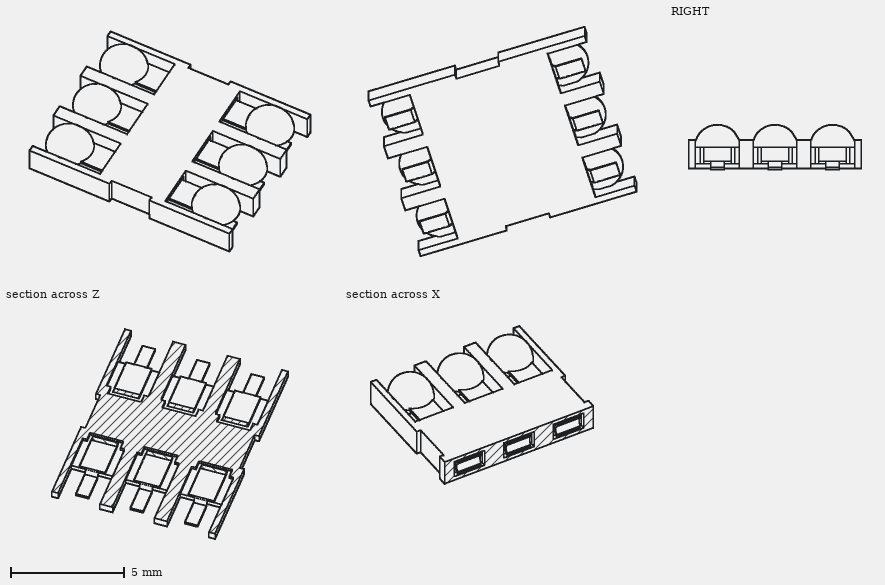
import cadquery as cq

LENGTH = 10.0
HEIGHT = 1.27
OUTER_WALL = 0.3
RIB = 0.6
SLOT_WIDTH = 1.94
ROWS = 3
PITCH = SLOT_WIDTH + RIB
WIDTH = ROWS * SLOT_WIDTH + (ROWS - 1) * RIB + 2 * OUTER_WALL

SLOT_LENGTH = 3.37
FLOOR_THICKNESS = 0.23
CAVITY_WIDTH = 1.54

NOTCH_LENGTH = 2.0
NOTCH_DEPTH = 0.2

STRIP_THICKNESS = 0.11
STRIP_WIDTH = 1.2
BEND_INNER_RADIUS = 0.3
FOOT_WIDTH = 0.6
FOOT_LENGTH = 1.2
FOOT_INSET = 0.45
FOOT_OVERHANG = 0.04
SLOPE_LENGTH = 0.16
DOME_HALF_LENGTH = 1.09
DOME_INSET = 1.35
DOME_HEIGHT = 1.01

END_X = -LENGTH / 2
BEND_OUTER_RADIUS = BEND_INNER_RADIUS + STRIP_THICKNESS
BEND_X = END_X + SLOT_LENGTH
BEND_Z = FLOOR_THICKNESS + BEND_OUTER_RADIUS
CAVITY_END_X = BEND_X + BEND_OUTER_RADIUS
STRIP_TOP_Z = BEND_Z + BEND_OUTER_RADIUS
UPPER_LEG_BOTTOM_Z = BEND_Z + BEND_INNER_RADIUS
FOOT_X = END_X + FOOT_INSET
SLOPE_X = FOOT_X + FOOT_LENGTH
FLOOR_X = SLOPE_X + SLOPE_LENGTH
DOME_X = END_X + DOME_INSET
ROW_YS = [(row - (ROWS - 1) / 2) * PITCH for row in range(ROWS)]


def block(x_start, x_end, width, z_start, z_end):
    """Box between two X and two Z values, centred on Y = 0."""
    return (
        cq.Workplane("XY")
        .box(x_end - x_start, width, z_end - z_start, centered=(False, True, False))
        .translate((x_start, 0, z_start))
    )


def make_seat():
    """Space cut from the housing for one contact at the -X end."""
    open_end = block(END_X, FLOOR_X, SLOT_WIDTH, 0, HEIGHT)
    slot = block(FLOOR_X, BEND_X, SLOT_WIDTH, FLOOR_THICKNESS, HEIGHT)
    cavity = block(BEND_X, CAVITY_END_X, CAVITY_WIDTH, FLOOR_THICKNESS, STRIP_TOP_Z)
    return open_end.union(slot).union(cavity)


def place_copies(shape):
    """Copies of a -X end shape for every row at both ends."""
    copies = []
    for y in ROW_YS:
        moved = shape.translate((0, y, 0))
        copies.append(moved)
        copies.append(moved.mirror("YZ"))
    return copies


def make_housing():
    body = block(END_X, -END_X, WIDTH, 0, HEIGHT)
    for seat in place_copies(make_seat()):
        body = body.cut(seat)
    notched_width = WIDTH - 2 * NOTCH_DEPTH
    notch_band = block(-NOTCH_LENGTH / 2, NOTCH_LENGTH / 2, WIDTH, 0, HEIGHT)
    waist = block(-NOTCH_LENGTH / 2, NOTCH_LENGTH / 2, notched_width, 0, HEIGHT)
    return body.cut(notch_band.cut(waist))


def make_bent_strip():
    """Lower leg on the floor, U bend inside the cavity and upper leg below the dome."""
    return (
        cq.Workplane("XZ")
        .moveTo(FLOOR_X, FLOOR_THICKNESS)
        .lineTo(BEND_X, FLOOR_THICKNESS)
        .threePointArc((CAVITY_END_X, BEND_Z), (BEND_X, STRIP_TOP_Z))
        .lineTo(DOME_X, STRIP_TOP_Z)
        .lineTo(DOME_X, UPPER_LEG_BOTTOM_Z)
        .lineTo(BEND_X, UPPER_LEG_BOTTOM_Z)
        .threePointArc(
            (BEND_X + BEND_INNER_RADIUS, BEND_Z),
            (BEND_X, FLOOR_THICKNESS + STRIP_THICKNESS),
        )
        .lineTo(FLOOR_X, FLOOR_THICKNESS + STRIP_THICKNESS)
        .close()
        .extrude(STRIP_WIDTH / 2, both=True)
    )


def make_foot():
    """Narrow solder foot with a slope up to the lower leg."""
    foot_top = STRIP_THICKNESS - FOOT_OVERHANG
    return (
        cq.Workplane("XZ")
        .polyline([
            (FOOT_X, -FOOT_OVERHANG),
            (SLOPE_X, -FOOT_OVERHANG),
            (FLOOR_X, FLOOR_THICKNESS),
            (FLOOR_X, FLOOR_THICKNESS + STRIP_THICKNESS),
            (SLOPE_X, foot_top),
            (FOOT_X, foot_top),
        ])
        .close()
        .extrude(FOOT_WIDTH / 2, both=True)
    )


def make_dome():
    """Upper half of an ellipsoid, flat below and trimmed to the slot width."""
    ellipsoid_half = (
        cq.Workplane("XZ")
        .moveTo(DOME_HALF_LENGTH, 0)
        .ellipseArc(DOME_HALF_LENGTH, DOME_HEIGHT, 0, 180, startAtCurrent=True)
        .close()
        .revolve(180, (0, 0, 0), (1, 0, 0))
        .rotate((0, 0, 0), (1, 0, 0), -90)
    )
    envelope = block(-DOME_HALF_LENGTH, DOME_HALF_LENGTH, SLOT_WIDTH, 0, DOME_HEIGHT)
    return ellipsoid_half.intersect(envelope).translate((DOME_X, 0, UPPER_LEG_BOTTOM_Z))


def make_contact():
    return make_bent_strip().union(make_foot()).union(make_dome())


housing = make_housing()
contacts = place_copies(make_contact())
contact_solids = [contact.solids().val() for contact in contacts]
result = cq.Compound.makeCompound([housing.solids().val(), *contact_solids])